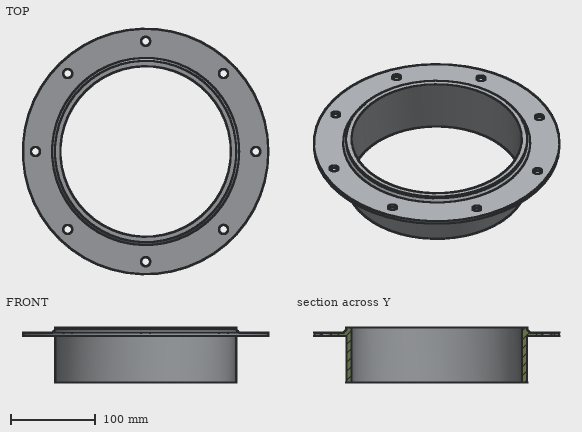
import cadquery as cq

flange_diameter = 290.0
flange_thickness = 4.0
tube_outer_diameter = 214.0
bore_diameter = 201.0
total_height = 65.0
rim_height = 6.0
weld_leg = 3.5
hole_diameter = 10.5
hole_count = 8
bolt_circle_diameter = 260.0

tube_radius = tube_outer_diameter / 2
bore_radius = bore_diameter / 2
flange_radius = flange_diameter / 2
flange_top = total_height - rim_height
flange_bottom = flange_top - flange_thickness


def make_body():
    """Revolve the tube, flange and weld bead as one section."""
    section = [
        (bore_radius, 0),
        (tube_radius, 0),
        (tube_radius, flange_bottom),
        (flange_radius, flange_bottom),
        (flange_radius, flange_top),
        (tube_radius + weld_leg, flange_top),
        (tube_radius, flange_top + weld_leg),
        (tube_radius, total_height),
        (bore_radius, total_height),
    ]
    return cq.Workplane("XZ").polyline(section).close().revolve(360, (0, 0, 0), (0, 1, 0))


def make_bolt_holes():
    """Cutters for the evenly spaced flange holes."""
    return (
        cq.Workplane("XY")
        .workplane(offset=flange_bottom)
        .polarArray(bolt_circle_diameter / 2, 0, 360, hole_count)
        .circle(hole_diameter / 2)
        .extrude(flange_thickness)
    )


result = make_body().cut(make_bolt_holes())